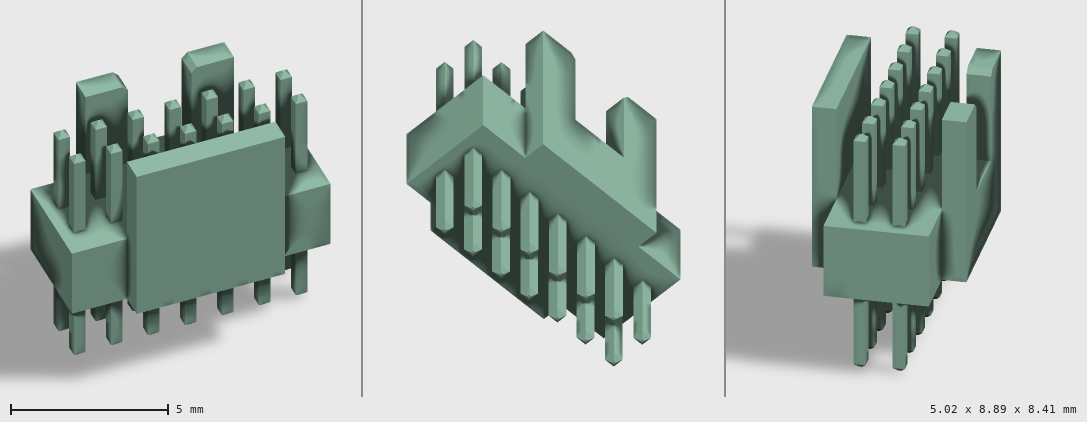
import cadquery as cq

pin_rows = 7
pin_columns = 2

base_length = 8.89
base_width = 3.42
base_height = 2.5
pitch = base_length / pin_rows

wall_thickness = 0.8
wall_length = 5.1
wall_height = 5.71

slot_width = 2.17
slot_depth = wall_height - base_height
slot_chamfer = 0.2

pin_width = 0.4
pin_tip_chamfer = 0.15
pin_drop = 2.7
pin_top_recess = 0.15
pin_length = pin_drop + wall_height - pin_top_recess


def upright_box(length_x, length_y, height):
    """Box centred on X and Y, rising from Z = 0."""
    return cq.Workplane("XY").box(length_x, length_y, height, centered=(True, True, False))


def make_wall(side):
    """Plain wall on the +X (side = 1) or -X (side = -1) face of the base."""
    offset = side * (base_width + wall_thickness) / 2
    return upright_box(wall_thickness, wall_length, wall_height).translate((offset, 0, 0))


def make_slot_cutter():
    """Slot profile in the YZ plane, widened by a chamfer at the mouth."""
    half_width = slot_width / 2
    half_mouth = half_width + slot_chamfer
    chamfer_start = wall_height - slot_chamfer
    profile = (
        cq.Workplane("YZ", origin=(-base_width / 2 - wall_thickness, 0, 0))
        .moveTo(-half_width, wall_height - slot_depth)
        .lineTo(half_width, wall_height - slot_depth)
        .lineTo(half_width, chamfer_start)
        .lineTo(half_mouth, wall_height)
        .lineTo(-half_mouth, wall_height)
        .lineTo(-half_width, chamfer_start)
        .close()
    )
    return profile.extrude(wall_thickness)


def make_pins():
    """Grid of straight pins passing through the base."""
    pin = upright_box(pin_width, pin_width, pin_length)
    pin = pin.faces("<Z or >Z").edges().chamfer(pin_tip_chamfer)
    pin = pin.translate((0, 0, -pin_drop)).val()
    grid = cq.Workplane("XY").rarray(pitch, pitch, pin_columns, pin_rows)
    return grid.eachpoint(lambda location: pin.moved(location))


base = upright_box(base_width, base_length, base_height)
keyed_wall = make_wall(-1).cut(make_slot_cutter())
plain_wall = make_wall(1)

result = base.union(keyed_wall).union(plain_wall).union(make_pins())